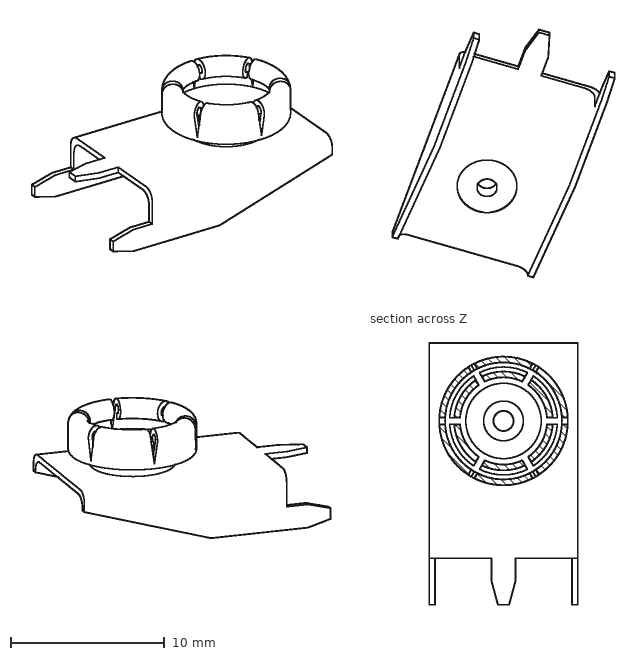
import math

import cadquery as cq

sheet = 0.39

bracket_width = 9.65
bracket_length = 17.02
bracket_height = 4.0
tab_length = 3.03
tab_straight = 1.46
tab_width = 1.58
tab_tip_width = 0.73
back_y = 5.07
back_wall_height = 1.3
slope_end_y = -3.68
bend_radius = 0.75
tip_y = back_y - bracket_length
front_y = tip_y + tab_length
taper_y = front_y - tab_straight
tab_taper = (tab_width - tab_tip_width) / 2

cup_height = 3.42
cup_radius = 4.19
cup_floor = 0.87
stem_radius = 2.85
cup_bend = 0.25
lip_radius = 0.68
lip_curl_angle = 270.0
slot_count = 6
slot_width = 0.45
lip_axis_radius = cup_radius - lip_radius
lip_axis_z = cup_height - lip_radius
slot_tip_z = cup_floor + sheet

bore_radius = 0.65
bore_rounding = 0.25
shank_radius = 1.02
rivet_top_radius = 1.3
rivet_top_height = 0.25
rivet_foot_radius = 1.94
rivet_foot_height = 0.24
rivet_foot_rounding = 0.2
rivet_top_z = sheet + rivet_top_height
rivet_foot_z = -sheet - rivet_foot_height


def make_rounded_block(width, top_z):
    """A block as long as the bracket, with its two upper long edges rounded."""
    return (
        cq.Workplane("XY")
        .box(width, bracket_length, bracket_height, centered=(True, False, False))
        .translate((0, tip_y, top_z - bracket_height))
        .edges("|Y and >Z")
        .fillet(bend_radius)
    )


def make_bracket():
    inner_width = bracket_width - 2 * sheet
    channel = make_rounded_block(bracket_width, 0).cut(make_rounded_block(inner_width, -sheet))

    side_outline = (
        cq.Workplane("YZ")
        .polyline(
            [
                (back_y, 0),
                (back_y, -back_wall_height),
                (slope_end_y, -bracket_height),
                (taper_y, -bracket_height),
                (tip_y, -bracket_height + tab_taper),
                (tip_y, -bracket_height + tab_width - tab_taper),
                (taper_y, -bracket_height + tab_width),
                (front_y, -bracket_height + tab_width),
                (front_y, 0),
            ]
        )
        .close()
        .extrude(bracket_width / 2, both=True)
    )
    top_tab = (
        cq.Workplane("XY")
        .polyline(
            [
                (-tab_width / 2, front_y),
                (-tab_width / 2, taper_y),
                (-tab_tip_width / 2, tip_y),
                (tab_tip_width / 2, tip_y),
                (tab_width / 2, taper_y),
                (tab_width / 2, front_y),
            ]
        )
        .close()
        .extrude(-sheet)
    )
    rivet_hole = cq.Workplane("XY").circle(shank_radius).extrude(-sheet)
    return channel.intersect(side_outline).union(top_tab).cut(rivet_hole)


def lip_point(radius, angle):
    """Point on a circle about the lip's centre, with the angle measured from the wall."""
    turn = math.radians(angle)
    return (lip_axis_radius + radius * math.cos(turn), lip_axis_z + radius * math.sin(turn))


def make_cup_shell():
    lip_inner_radius = lip_radius - sheet
    half_curl = lip_curl_angle / 2
    half_section = (
        cq.Workplane("XZ")
        .moveTo(shank_radius, 0)
        .lineTo(stem_radius - cup_bend, 0)
        .radiusArc((stem_radius, cup_bend), -cup_bend)
        .lineTo(stem_radius, cup_floor - cup_bend)
        .radiusArc((stem_radius + cup_bend, cup_floor), cup_bend)
        .lineTo(cup_radius - cup_bend, cup_floor)
        .radiusArc((cup_radius, cup_floor + cup_bend), -cup_bend)
        .lineTo(cup_radius, lip_axis_z)
        .threePointArc(lip_point(lip_radius, half_curl), lip_point(lip_radius, lip_curl_angle))
        .lineTo(*lip_point(lip_inner_radius, lip_curl_angle))
        .threePointArc(lip_point(lip_inner_radius, half_curl), lip_point(lip_inner_radius, 0))
        .lineTo(cup_radius - sheet, cup_floor + sheet)
        .lineTo(stem_radius - sheet + cup_bend, cup_floor + sheet)
        .radiusArc((stem_radius - sheet, cup_floor + sheet - cup_bend), -cup_bend)
        .lineTo(stem_radius - sheet, sheet + cup_bend)
        .radiusArc((stem_radius - sheet - cup_bend, sheet), cup_bend)
        .lineTo(shank_radius, sheet)
        .close()
    )
    return half_section.revolve(360, (0, 0, 0), (0, 1, 0))


def make_slot():
    """One slot: parallel through the rolled lip and narrowing to a point down the upright wall."""
    wall_slot = (
        cq.Workplane("YZ")
        .polyline(
            [
                (0, slot_tip_z),
                (slot_width / 2, lip_axis_z),
                (slot_width / 2, cup_height),
                (-slot_width / 2, cup_height),
                (-slot_width / 2, lip_axis_z),
            ]
        )
        .close()
        .extrude(cup_radius)
    )
    lip_slot_height = cup_height - slot_tip_z
    lip_slot = (
        cq.Workplane("XY")
        .box(cup_radius - sheet, slot_width, lip_slot_height, centered=(False, True, False))
        .translate((0, 0, slot_tip_z))
    )
    wall_inside = cq.Workplane("XY").circle(cup_radius - sheet).extrude(cup_height)
    return wall_slot.union(lip_slot.intersect(wall_inside))


def make_cup():
    slot = make_slot()
    cup = make_cup_shell()
    for index in range(slot_count):
        cup = cup.cut(slot.rotate((0, 0, 0), (0, 0, 1), index * 360 / slot_count))
    return cup


def make_rivet():
    profile = (
        cq.Workplane("XZ")
        .moveTo(bore_radius, rivet_foot_z)
        .lineTo(rivet_foot_radius - rivet_foot_rounding, rivet_foot_z)
        .radiusArc((rivet_foot_radius, rivet_foot_z + rivet_foot_rounding), -rivet_foot_rounding)
        .lineTo(rivet_foot_radius, -sheet)
        .lineTo(shank_radius, -sheet)
        .lineTo(shank_radius, sheet)
        .lineTo(rivet_top_radius, sheet)
        .radiusArc((rivet_top_radius - rivet_top_height, rivet_top_z), -rivet_top_height)
        .lineTo(bore_radius + bore_rounding, rivet_top_z)
        .radiusArc((bore_radius, rivet_top_z - bore_rounding), -bore_rounding)
        .close()
    )
    return profile.revolve(360, (0, 0, 0), (0, 1, 0))


bracket = make_bracket()
cup = make_cup()
rivet = make_rivet()
result = cq.Compound.makeCompound([bracket.val(), cup.val(), rivet.val()])